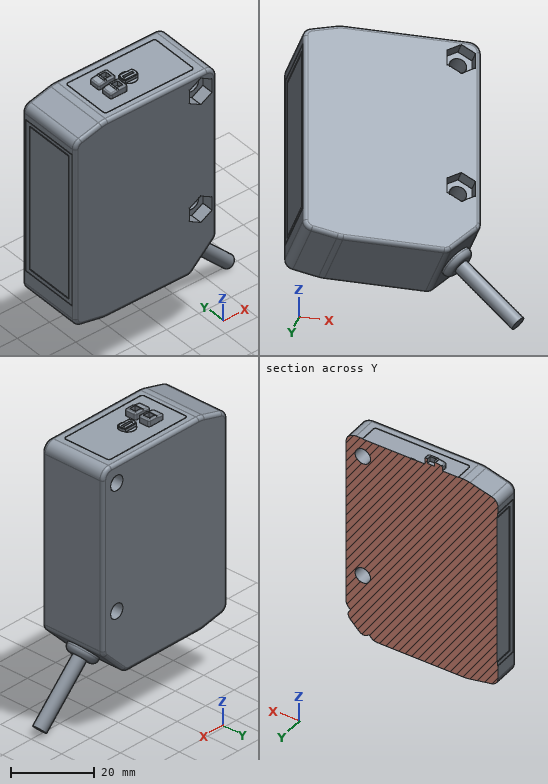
import cadquery as cq
import math

LENGTH = 43.9
THICKNESS = 20.0
HEIGHT = 60.0
EDGE_RADIUS = 1.0

TAPER_LENGTH = 9.1
TOP_TAPER_ANGLE = 15.0
BOTTOM_TAPER_ANGLE = 11.0
CABLE_CORNER_CUT = 8.0
NOSE_RADIUS = 2.5
TAPER_BLEND_RADIUS = 8.0
CABLE_CORNER_RADIUS = 2.5
REAR_CORNER_RADIUS = 3.0

HOLE_X = 39.0
UPPER_HOLE_Z = 54.6
HOLE_SPACING = 36.0
HOLE_DIAMETER = 4.3
NUT_ACROSS_FLATS = 7.0
NUT_POCKET_DEPTH = 3.5
NUT_SIDES = 6

FRAME_WIDTH = 17.6
FRAME_BOTTOM_Z = 7.7
FRAME_TOP_Z = 53.8
FRAME_DEPTH = 0.1
PANE_WIDTH = 14.8
PANE_BOTTOM_Z = 8.9
PANE_TOP_Z = 52.5
PANE_DEPTH = 0.3

PANEL_START_X = 11.4
PANEL_END_X = 39.0
PANEL_WIDTH = 14.9
PANEL_CORNER_RADIUS = 0.7
PANEL_DEPTH = 0.1

SWITCH_START_X = 16.0
SWITCH_END_X = 21.2
SWITCH_WIDTH = 3.5
SWITCH_GAP = 1.0
SWITCH_HEIGHT = 1.8
SWITCH_FRONT_HEIGHT = 1.3
SWITCH_STEP_HEIGHT = 1.6
SWITCH_STEP_X = 18.0
SWITCH_CREST_X = 18.4
SWITCH_CORNER_RADIUS = 0.5
SWITCH_RIM_RADIUS = 0.4
SWITCH_POCKET_LENGTH = 1.9
SWITCH_POCKET_WIDTH = 1.9
SWITCH_POCKET_DEPTH = 1.4

KNOB_X = 24.7
KNOB_DIAMETER = 4.7
KNOB_RECESS_DEPTH = 0.1
KNOB_HEIGHT = 0.8
KNOB_BAR_WIDTH = 2.6
KNOB_CHAMFER = 0.2
KNOB_SLOT_LENGTH = 3.0
KNOB_SLOT_WIDTH = 0.7
KNOB_SLOT_DEPTH = 0.6

GLAND_DIAMETER = 8.7
GLAND_LENGTH = 2.1
GLAND_EDGE_RADIUS = 1.6
CABLE_DIAMETER = 3.85
CABLE_REACH_X = 56.83


def make_housing():
    top_drop = TAPER_LENGTH * math.tan(math.radians(TOP_TAPER_ANGLE))
    bottom_rise = TAPER_LENGTH * math.tan(math.radians(BOTTOM_TAPER_ANGLE))
    corners = [
        (0, bottom_rise, NOSE_RADIUS),
        (TAPER_LENGTH, 0, TAPER_BLEND_RADIUS),
        (LENGTH - CABLE_CORNER_CUT, 0, CABLE_CORNER_RADIUS),
        (LENGTH, CABLE_CORNER_CUT, CABLE_CORNER_RADIUS),
        (LENGTH, HEIGHT, REAR_CORNER_RADIUS),
        (TAPER_LENGTH, HEIGHT, TAPER_BLEND_RADIUS),
        (0, HEIGHT - top_drop, NOSE_RADIUS),
    ]
    outline = [(x, z) for x, z, radius in corners]
    housing = cq.Workplane("XZ").polyline(outline).close().extrude(THICKNESS / 2, both=True)
    for x, z, radius in corners:
        corner_edge = cq.selectors.NearestToPointSelector((x, 0, z))
        housing = housing.edges(corner_edge).fillet(radius)
    return housing.faces("<Y or >Y").edges().fillet(EDGE_RADIUS)


def cut_mounting_hole(body, z):
    side = cq.Workplane("XZ", origin=(HOLE_X, -THICKNESS / 2, z))
    hole = side.circle(HOLE_DIAMETER / 2).extrude(-THICKNESS)
    nut_across_corners = NUT_ACROSS_FLATS / math.cos(math.pi / NUT_SIDES)
    nut_pocket = (
        side.transformed(rotate=(0, 0, 90))
        .polygon(NUT_SIDES, nut_across_corners)
        .extrude(-NUT_POCKET_DEPTH)
    )
    return body.cut(hole).cut(nut_pocket)


def cut_window_step(body, width, bottom_z, top_z, depth):
    step = cq.Workplane("XY").box(depth, width, top_z - bottom_z, centered=(False, True, False))
    return body.cut(step.translate((0, 0, bottom_z)))


def cut_control_panel(body):
    recess = (
        cq.Workplane("XY", origin=((PANEL_START_X + PANEL_END_X) / 2, 0, HEIGHT))
        .rect(PANEL_END_X - PANEL_START_X, PANEL_WIDTH)
        .extrude(-PANEL_DEPTH)
        .edges("|Z")
        .fillet(PANEL_CORNER_RADIUS)
    )
    return body.cut(recess)


def make_switch(y):
    profile = [
        (SWITCH_START_X, -PANEL_DEPTH),
        (SWITCH_START_X, SWITCH_FRONT_HEIGHT),
        (SWITCH_STEP_X, SWITCH_STEP_HEIGHT),
        (SWITCH_CREST_X, SWITCH_HEIGHT),
        (SWITCH_END_X, SWITCH_HEIGHT),
        (SWITCH_END_X, -PANEL_DEPTH),
    ]
    switch = (
        cq.Workplane("XZ", origin=(0, y, HEIGHT))
        .polyline(profile)
        .close()
        .extrude(SWITCH_WIDTH / 2, both=True)
        .edges("|Z")
        .fillet(SWITCH_CORNER_RADIUS)
    )
    front_rim = switch.faces("<X").edges(">Z")
    rear_rim = switch.faces(">X").edges(">Z")
    side_rims = switch.faces("<Y or >Y").edges("not(|Z or <Z)")
    switch = front_rim.add(rear_rim).add(side_rims).fillet(SWITCH_RIM_RADIUS)
    pocket_floor_z = HEIGHT + SWITCH_HEIGHT - SWITCH_POCKET_DEPTH
    pocket = cq.Workplane("XY", origin=(SWITCH_CREST_X, y, pocket_floor_z)).box(
        SWITCH_POCKET_LENGTH, SWITCH_POCKET_WIDTH, SWITCH_POCKET_DEPTH, centered=(False, True, False)
    )
    return switch.cut(pocket)


def add_knob(body):
    floor_depth = PANEL_DEPTH + KNOB_RECESS_DEPTH
    floor = cq.Workplane("XY", origin=(KNOB_X, 0, HEIGHT - floor_depth))
    bar_height = KNOB_HEIGHT + floor_depth
    recess = floor.circle(KNOB_DIAMETER / 2).extrude(KNOB_RECESS_DEPTH)
    bar = floor.rect(KNOB_DIAMETER, KNOB_BAR_WIDTH).extrude(bar_height)
    bar = bar.intersect(floor.circle(KNOB_DIAMETER / 2).extrude(bar_height))
    bar = bar.faces(">Z").edges().chamfer(KNOB_CHAMFER)
    slot = (
        cq.Workplane("XY", origin=(KNOB_X, 0, HEIGHT + KNOB_HEIGHT))
        .rect(KNOB_SLOT_LENGTH, KNOB_SLOT_WIDTH)
        .extrude(-KNOB_SLOT_DEPTH)
    )
    return body.cut(recess).union(bar.cut(slot))


def make_cable():
    exit_x = LENGTH - CABLE_CORNER_CUT / 2
    exit_plane = cq.Plane(
        origin=(exit_x, 0, CABLE_CORNER_CUT / 2), xDir=(0, 1, 0), normal=(1, 0, -1)
    )
    gland = (
        cq.Workplane(exit_plane)
        .circle(GLAND_DIAMETER / 2)
        .extrude(GLAND_LENGTH)
        .faces(cq.selectors.DirectionMinMaxSelector(exit_plane.zDir))
        .edges()
        .fillet(GLAND_EDGE_RADIUS)
    )
    cable_length = (CABLE_REACH_X - exit_x) * math.sqrt(2) - CABLE_DIAMETER / 2
    cable = cq.Workplane(exit_plane).circle(CABLE_DIAMETER / 2).extrude(cable_length)
    return gland.union(cable)


result = make_housing()
for hole_z in (UPPER_HOLE_Z, UPPER_HOLE_Z - HOLE_SPACING):
    result = cut_mounting_hole(result, hole_z)
result = cut_window_step(result, FRAME_WIDTH, FRAME_BOTTOM_Z, FRAME_TOP_Z, FRAME_DEPTH)
result = cut_window_step(result, PANE_WIDTH, PANE_BOTTOM_Z, PANE_TOP_Z, PANE_DEPTH)
result = cut_control_panel(result)
switch_offset = (SWITCH_GAP + SWITCH_WIDTH) / 2
for side in (-1, 1):
    result = result.union(make_switch(side * switch_offset))
result = add_knob(result)
result = result.union(make_cable())